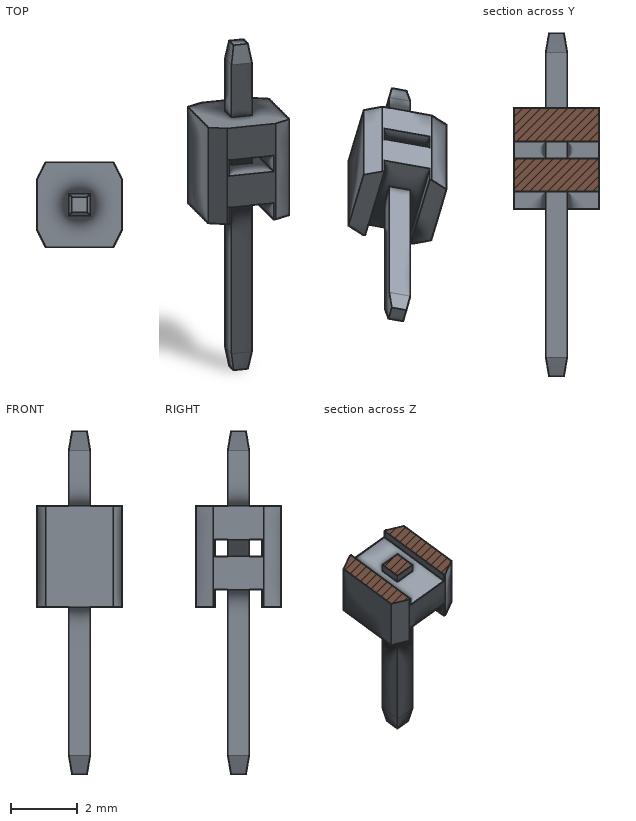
import cadquery as cq

total_height = 10.25
body_side = 2.54

body_bottom = 4.99
body_height = 3.02
corner_cut_x = 0.26
corner_cut_y = 0.51

opening_width = 1.39
notch_height = 0.52
window_bottom = 1.52
window_height = 0.5

pin_side = 0.65
tip_side = 0.45
tip_length = 0.57


def make_housing():
    """Square block with its four vertical edges cut off unequally."""
    half = body_side / 2
    flat_x = half - corner_cut_x
    flat_y = half - corner_cut_y
    outline = [
        (-flat_x, -half), (flat_x, -half),
        (half, -flat_y), (half, flat_y),
        (flat_x, half), (-flat_x, half),
        (-half, flat_y), (-half, -flat_y),
    ]
    return (
        cq.Workplane("XY", origin=(0, 0, body_bottom))
        .polyline(outline).close().extrude(body_height)
    )


def make_opening(height_above_underside, height):
    """Rectangular passage across the full X width of the housing."""
    return (
        cq.Workplane("XY", origin=(0, 0, body_bottom + height_above_underside))
        .box(body_side, opening_width, height, centered=(True, True, False))
    )


def make_frustum(base_z, base_side, end_z, end_side):
    """Square section tapering between two heights."""
    return (
        cq.Workplane("XY", origin=(0, 0, base_z))
        .rect(base_side, base_side)
        .workplane(offset=end_z - base_z)
        .rect(end_side, end_side)
        .loft(ruled=True)
    )


def make_pin():
    """Full-height square pin with a blunt taper at each end."""
    shank_top = total_height - tip_length
    shank = (
        cq.Workplane("XY", origin=(0, 0, tip_length))
        .rect(pin_side, pin_side).extrude(shank_top - tip_length)
    )
    lower_tip = make_frustum(0, tip_side, tip_length, pin_side)
    upper_tip = make_frustum(shank_top, pin_side, total_height, tip_side)
    return shank.union(lower_tip).union(upper_tip)


housing = (
    make_housing()
    .cut(make_opening(0, notch_height))
    .cut(make_opening(window_bottom, window_height))
)

result = housing.union(make_pin()).translate((0, 0, -total_height / 2))